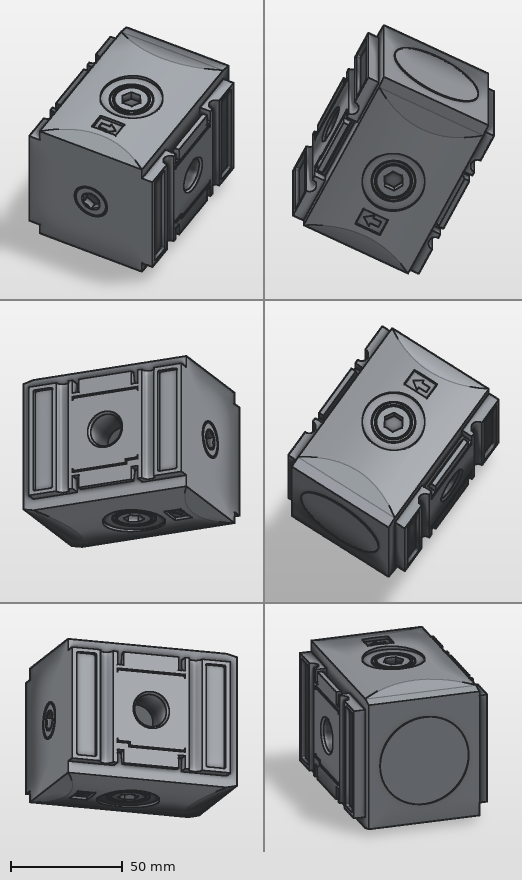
import cadquery as cq
import math

body_width = 52.3
body_half_y = 37.5
side_half_z = 31.1
crown_half_z = 33.6
crown_slope_run = 8.7

rear_plate_thickness = 5.0
rear_plate_half_z = 29.9
cover_diameter = 41.9
cover_thickness = 0.5

overall_width = 63.0
flange_height = 51.6
channel_diameter = 6.0
channel_depth = 3.1
channel_offset_y = 21.0
pocket_width = 9.3
pocket_offset_y = 30.6
pocket_height = 48.0
pocket_depth = 2.0
pocket_corner_radius = 1.0

relief_width = 31.95
relief_depth_z = 6.0
lip_width = 25.9
lip_tip_thickness = 2.4
lip_root_thickness = 4.2

plate_height = 36.0
plate_step_y = 10.55
plate_step_height = 1.7
plate_corner_radius = 1.0
plate_gap = 0.65
plate_gap_depth = 0.3
port_diameter = 15.0
port_mouth_diameter = 17.1
port_depth = 19.3

plug_seam_diameter = 16.0
plug_seam_half_width = 0.4
hex_flats = 8.05
hex_depth = 4.0
hex_lead_in_diameter = 9.25

recess_diameter = 28.0
recess_floor_z = 32.0
ring_outer_diameter = 19.8
ring_inner_diameter = 19.0
ring_depth = 0.4
arrow_pocket_length = 12.2
arrow_pocket_width = 8.2
arrow_center_y = -21.6
arrow_length = 8.05
arrow_head_length = 3.95
arrow_head_width = 5.7
arrow_tail_width = 2.8
arrow_depth = 0.3

body_half_x = body_width / 2
flange_x = overall_width / 2
flange_half_z = flange_height / 2
plate_half_z = plate_height / 2
rear_plate_y = body_half_y + rear_plate_thickness
hex_corners = hex_flats / math.cos(math.pi / 6)


def box(x_range, y_range, z_range):
    """Axis-aligned box from three (low, high) ranges."""
    size = [high - low for low, high in (x_range, y_range, z_range)]
    corner = (x_range[0], y_range[0], z_range[0])
    return cq.Workplane("XY").box(*size, centered=False).translate(corner)


def mirrored_z(shape):
    return shape.union(shape.mirror("XY"))


def make_body():
    """Block crowned across X, with sloped ends and a tapered rear plate."""
    upper_edge = [
        (-body_half_y, side_half_z),
        (-body_half_y + crown_slope_run, crown_half_z),
        (body_half_y - crown_slope_run, crown_half_z),
        (body_half_y, side_half_z),
        (rear_plate_y, rear_plate_half_z),
    ]
    lower_edge = [(y, -z) for y, z in reversed(upper_edge)]
    side_profile = (
        cq.Workplane("YZ")
        .polyline(upper_edge + lower_edge)
        .close()
        .extrude(body_half_x, both=True)
    )
    crown = (
        cq.Workplane("XZ")
        .moveTo(-body_half_x, side_half_z)
        .threePointArc((0, crown_half_z), (body_half_x, side_half_z))
        .lineTo(body_half_x, -side_half_z)
        .threePointArc((0, -crown_half_z), (-body_half_x, -side_half_z))
        .close()
        .extrude(rear_plate_y, both=True)
    )
    cover = (
        cq.Workplane("XZ", origin=(0, rear_plate_y, 0))
        .circle(cover_diameter / 2)
        .extrude(-cover_thickness)
    )
    return side_profile.intersect(crown).union(cover)


def make_lip():
    """Upper clamping lip: its inner side slopes toward the body at the root."""
    root_z = flange_half_z - relief_depth_z
    return (
        cq.Workplane("XZ")
        .polyline([
            (-flange_x, root_z),
            (-flange_x, flange_half_z),
            (-flange_x + lip_tip_thickness, flange_half_z),
            (-flange_x + lip_root_thickness, root_z),
        ])
        .close()
        .extrude(lip_width / 2, both=True)
    )


def make_flange():
    """Flange on the -X side with channels, shallow pockets and clamping lips."""
    flange = box(
        (-flange_x, -body_half_x),
        (-body_half_y, body_half_y),
        (-flange_half_z, flange_half_z),
    )
    relief = box(
        (-flange_x, -body_half_x),
        (-relief_width / 2, relief_width / 2),
        (flange_half_z - relief_depth_z, flange_half_z),
    )
    flange = flange.cut(mirrored_z(relief)).union(mirrored_z(make_lip()))

    channel_x = -flange_x + channel_depth - channel_diameter / 2
    for side in (-1, 1):
        channel = (
            cq.Workplane("XY")
            .center(channel_x, side * channel_offset_y)
            .circle(channel_diameter / 2)
            .extrude(flange_half_z, both=True)
        )
        pocket = (
            cq.Workplane("YZ", origin=(-flange_x, side * pocket_offset_y, 0))
            .rect(pocket_width, pocket_height)
            .extrude(pocket_depth)
            .edges("|X")
            .fillet(pocket_corner_radius)
        )
        flange = flange.cut(channel).cut(pocket)
    return flange


def port_plate_outline(end_gap):
    """Port plate shape with one stepped lower corner, shortened at both Z ends."""
    half_y = relief_width / 2
    top_z = plate_half_z - end_gap
    step_y = -plate_step_y + end_gap
    step_z = -plate_half_z + plate_step_height + end_gap
    return (
        cq.Workplane("YZ", origin=(-flange_x, 0, 0))
        .polyline([
            (half_y, top_z),
            (-half_y, top_z),
            (-half_y, step_z),
            (step_y, step_z),
            (step_y, -top_z),
            (half_y, -top_z),
        ])
        .close()
        .extrude(plate_gap_depth)
    )


def make_port():
    """Blind port with a 45 degree mouth and the narrow gaps around its plate."""
    plate = (
        port_plate_outline(plate_gap)
        .edges("|X")
        .edges("<Y or >Y")
        .fillet(plate_corner_radius)
    )
    gap = port_plate_outline(0).cut(plate)
    mouth_depth = (port_mouth_diameter - port_diameter) / 2
    bore = (
        cq.Workplane("YZ", origin=(-flange_x, 0, 0))
        .circle(port_diameter / 2)
        .extrude(port_depth)
    )
    mouth = cq.Workplane(cq.Solid.makeCone(
        port_mouth_diameter / 2, port_diameter / 2, mouth_depth,
        cq.Vector(-flange_x, 0, 0), cq.Vector(1, 0, 0),
    ))
    return gap.union(bore).union(mouth)


def make_plug_cut():
    """Plug cut from a face at Z = 0: V-shaped seam and a hexagon socket."""
    seam_radius = plug_seam_diameter / 2
    seam = (
        cq.Workplane("XZ")
        .polyline([
            (seam_radius - plug_seam_half_width, 0),
            (seam_radius, -plug_seam_half_width),
            (seam_radius + plug_seam_half_width, 0),
        ])
        .close()
        .revolve(360, (0, 0, 0), (0, 1, 0))
    )
    socket = cq.Workplane("XY").polygon(6, hex_corners).extrude(-hex_depth)
    return seam.union(socket)


def make_front_plug_cut():
    """Plug on the -Y face, with a conical lead-in to its socket."""
    lead_in_depth = (hex_lead_in_diameter - hex_flats) / 2
    lead_in = cq.Workplane(cq.Solid.makeCone(
        hex_lead_in_diameter / 2, hex_flats / 2, lead_in_depth,
        cq.Vector(0, 0, 0), cq.Vector(0, 0, -1),
    ))
    plug = make_plug_cut().union(lead_in)
    plug = plug.rotate((0, 0, 0), (0, 0, 1), 30)
    plug = plug.rotate((0, 0, 0), (1, 0, 0), 90)
    return plug.translate((0, -body_half_y, 0))


def make_crown_cut():
    """Round recess with ring groove and plug, and the arrow recess, on the top."""
    floor = cq.Workplane("XY", origin=(0, 0, recess_floor_z))
    recess_height = crown_half_z - recess_floor_z
    recess = floor.circle(recess_diameter / 2).extrude(recess_height)
    ring = (
        floor.circle(ring_outer_diameter / 2)
        .circle(ring_inner_diameter / 2)
        .extrude(-ring_depth)
    )
    plug = make_plug_cut().translate((0, 0, recess_floor_z))

    arrow_floor = floor.center(0, arrow_center_y)
    arrow_pocket = (
        arrow_floor.rect(arrow_pocket_length, arrow_pocket_width).extrude(recess_height)
    )
    tip_x = arrow_length / 2
    head_x = tip_x - arrow_head_length
    arrow = (
        arrow_floor.polyline([
            (-tip_x, arrow_tail_width / 2),
            (head_x, arrow_tail_width / 2),
            (head_x, arrow_head_width / 2),
            (tip_x, 0),
            (head_x, -arrow_head_width / 2),
            (head_x, -arrow_tail_width / 2),
            (-tip_x, -arrow_tail_width / 2),
        ])
        .close()
        .extrude(-arrow_depth)
    )
    return recess.union(ring).union(plug).union(arrow_pocket).union(arrow)


left_flange = make_flange()
left_port = make_port()
result = make_body().union(left_flange).union(left_flange.mirror("YZ"))
result = result.cut(left_port).cut(left_port.mirror("YZ"))
result = result.cut(make_front_plug_cut())
result = result.cut(mirrored_z(make_crown_cut()))